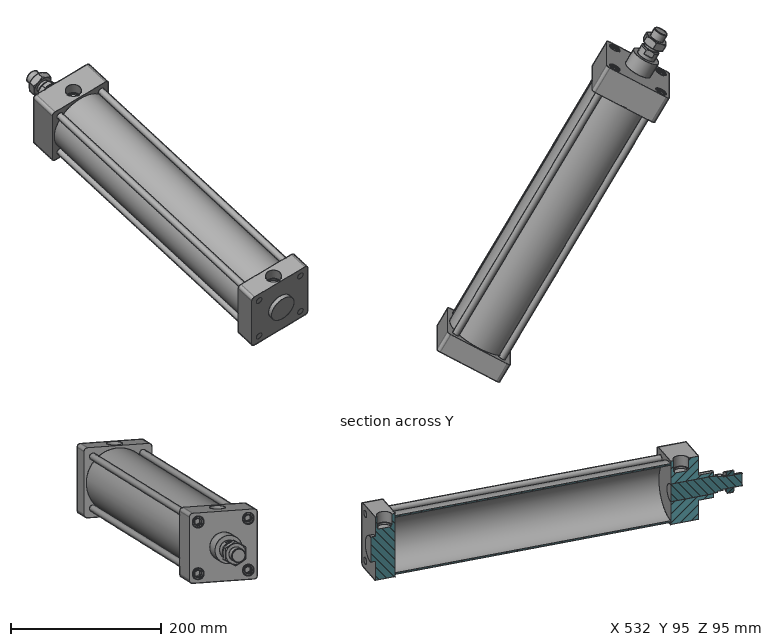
import cadquery as cq
import math


nut_start = 11.5
nut_end = 23.0
shoulder_x = 27.5
flats_end = 35.5
front_boss_start = 41.0
front_cap_start = 63.0
front_cap_end = 102.5
rear_cap_start = 497.0
rear_cap_end = 526.0
total_length = 532.0

cap_side = 95.0
cap_corner_radius = 5.0
boss_diameter = 38.5

port_mouth_diameter = 21.5
port_mouth_depth = 16.0
port_floor_diameter = 18.5
port_total_depth = 18.5
front_port_x = front_cap_end - 15.0
rear_port_x = rear_cap_start + 15.5

tube_outer_diameter = 89.0
tube_bore_diameter = 82.5

tie_rod_offset = 35.0
tie_rod_diameter = 9.5
tie_rod_head_diameter = 14.5
tie_rod_head_length = 10.5
head_recess_diameter = 16.0
head_recess_depth = 1.5
socket_mouth_diameter = 10.5
socket_mouth_depth = 0.5
socket_corner_diameter = 9.5
socket_depth = 5.5
head_start = front_cap_start + head_recess_depth
head_end = head_start + tie_rod_head_length
tie_rod_places = [
    (y_side * tie_rod_offset, z_side * tie_rod_offset)
    for y_side in (-1, 1)
    for z_side in (-1, 1)
]

rod_diameter = 25.5
shoulder_chamfer = 1.5
flats_width = 22.5
thread_diameter = 19.0
thread_tip_chamfer = 0.8

nut_across_flats = 29.0
nut_face_diameter = 28.0
nut_chamfer_angle = 30


def cylinder_x(diameter, start, end, y=0, z=0):
    """A cylinder along X between two X stations."""
    return cq.Workplane("YZ", origin=(start, y, z)).circle(diameter / 2).extrude(end - start)


def hexagon_x(corner_diameter, start, end, y=0, z=0):
    """A hexagonal prism along X with two of its corners pointing along Z."""
    plane = cq.Workplane("YZ", origin=(start, y, z)).transformed(rotate=(0, 0, 90))
    return plane.polygon(6, corner_diameter).extrude(end - start)


def cap_block(start, end):
    """A square end cap with its four long edges rounded."""
    block = cq.Workplane("YZ", origin=(start, 0, 0)).rect(cap_side, cap_side).extrude(end - start)
    return block.edges("|X").fillet(cap_corner_radius)


def port_cutter(x):
    """The stepped blind hole of an air port, sunk from the top face of a cap."""
    top = cq.Workplane("XY", origin=(x, 0, cap_side / 2))
    mouth = top.circle(port_mouth_diameter / 2).extrude(-port_mouth_depth)
    floor = top.circle(port_floor_diameter / 2).extrude(-port_total_depth)
    return mouth.union(floor)


def make_front_cap():
    cap = cap_block(front_cap_start, front_cap_end)
    cap = cap.union(cylinder_x(boss_diameter, front_boss_start, front_cap_start))
    cap = cap.cut(cylinder_x(rod_diameter, front_boss_start, front_cap_end))
    cap = cap.cut(port_cutter(front_port_x))
    for y, z in tie_rod_places:
        cap = cap.cut(cylinder_x(head_recess_diameter, front_cap_start, head_start, y, z))
        cap = cap.cut(cylinder_x(tie_rod_head_diameter, head_start, head_end, y, z))
        cap = cap.cut(cylinder_x(tie_rod_diameter, head_end, front_cap_end, y, z))
    return cap


def make_rear_cap():
    cap = cap_block(rear_cap_start, rear_cap_end)
    cap = cap.union(cylinder_x(boss_diameter, rear_cap_end, total_length))
    cap = cap.cut(port_cutter(rear_port_x))
    for y, z in tie_rod_places:
        cap = cap.cut(cylinder_x(tie_rod_diameter, rear_cap_start, rear_cap_end, y, z))
    return cap


def make_tube():
    tube = cylinder_x(tube_outer_diameter, front_cap_end, rear_cap_start)
    return tube.cut(cylinder_x(tube_bore_diameter, front_cap_end, rear_cap_start))


def make_tie_rod(y, z):
    """A rod from its socket head in the front cap to the back of the rear cap."""
    rod = cylinder_x(tie_rod_diameter, head_start, rear_cap_end, y, z)
    rod = rod.union(cylinder_x(tie_rod_head_diameter, head_start, head_end, y, z))
    socket_mouth = cylinder_x(socket_mouth_diameter, head_start, head_start + socket_mouth_depth, y, z)
    socket = hexagon_x(socket_corner_diameter, head_start, head_start + socket_depth, y, z)
    return rod.cut(socket_mouth).cut(socket)


def make_piston_rod():
    """The rod with two wrench flats next to its shoulder and a thinner threaded end."""
    rod = cylinder_x(rod_diameter, shoulder_x, front_cap_end).faces("<X").chamfer(shoulder_chamfer)
    flat_cutter = cq.Workplane("XY").box(
        flats_end - shoulder_x, rod_diameter, rod_diameter, centered=(False, True, True)
    )
    for side in (-1, 1):
        cutter_z = side * (flats_width + rod_diameter) / 2
        rod = rod.cut(flat_cutter.translate((shoulder_x, 0, cutter_z)))
    thread = cylinder_x(thread_diameter, 0, shoulder_x).faces("<X").chamfer(thread_tip_chamfer)
    return rod.union(thread)


def make_nut():
    """A hexagon nut whose corners are turned down by a cone at both faces."""
    corner_diameter = nut_across_flats / math.cos(math.pi / 6)
    cone_width = (corner_diameter - nut_face_diameter) / 2
    cone_length = cone_width * math.tan(math.radians(nut_chamfer_angle))
    turned_blank = cylinder_x(corner_diameter, nut_start, nut_end)
    turned_blank = turned_blank.faces("<X or >X").edges().chamfer(cone_length, cone_width)
    nut = hexagon_x(corner_diameter, nut_start, nut_end).intersect(turned_blank)
    return nut.cut(cylinder_x(thread_diameter, nut_start, nut_end))


front_cap = make_front_cap()
rear_cap = make_rear_cap()
tube = make_tube()
tie_rods = [make_tie_rod(y, z) for y, z in tie_rod_places]
piston_rod = make_piston_rod()
nut = make_nut()

result = cq.Compound.makeCompound(
    [
        front_cap.val(),
        rear_cap.val(),
        tube.val(),
        *[tie_rod.val() for tie_rod in tie_rods],
        piston_rod.val(),
        nut.val(),
    ]
)